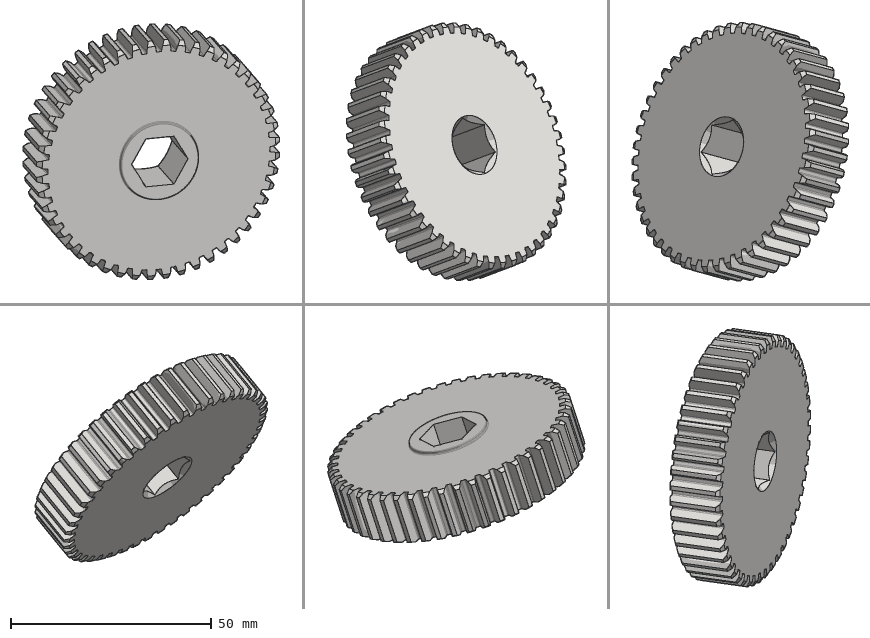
import cadquery as cq
import math

INCH = 25.4
DIAMETRAL_PITCH = 20
MODULE = INCH / DIAMETRAL_PITCH
TEETH = 48
PRESSURE_ANGLE = math.radians(17)
PITCH_RADIUS = MODULE * TEETH / 2
TIP_RADIUS = PITCH_RADIUS + MODULE
DEDENDUM = 1.25 * MODULE
ROOT_RADIUS = PITCH_RADIUS - DEDENDUM
BASE_RADIUS = PITCH_RADIUS * math.cos(PRESSURE_ANGLE)
TOOTH_PITCH_ANGLE = 2 * math.pi / TEETH
FLANK_POINTS = 5

ROOT_FILLET = 0.2 * MODULE

TOTAL_LENGTH = 14.3
FACE_WIDTH = 13.5
BACK_X = -FACE_WIDTH / 2
FRONT_X = FACE_WIDTH / 2
BOSS_END_X = BACK_X + TOTAL_LENGTH

CHAMFER_RADIAL = MODULE
CHAMFER_ANGLE = math.radians(30)
CHAMFER_AXIAL = CHAMFER_RADIAL * math.tan(CHAMFER_ANGLE)

BOSS_RADIUS = 10.15
BOSS_ROUND = 0.2
HEX_ACROSS_FLATS = INCH / 2
HEX_ACROSS_CORNERS = HEX_ACROSS_FLATS / math.cos(math.pi / 6)
COUNTERSINK_RADIUS = 7.62
COUNTERSINK_ANGLE = math.radians(45)


def involute(angle):
    """Involute function of a pressure angle."""
    return math.tan(angle) - angle


def polar(radius, angle):
    """Point in the YZ plane at an angle from +Y."""
    return (radius * math.cos(angle), radius * math.sin(angle))


def half_tooth_angle(radius):
    """Angle from the tooth centreline to its flank at a radius on the involute."""
    local_pressure_angle = math.acos(BASE_RADIUS / radius)
    return TOOTH_PITCH_ANGLE / 4 + involute(PRESSURE_ANGLE) - involute(local_pressure_angle)


def flank(centre, side):
    """Points of one involute flank, from the base circle to the tip."""
    step = (TIP_RADIUS - BASE_RADIUS) / (FLANK_POINTS - 1)
    radii = [BASE_RADIUS + step * i for i in range(FLANK_POINTS)]
    return [polar(r, centre + side * half_tooth_angle(r)) for r in radii]


def is_root_edge(edge):
    """True for an axial edge where a flank meets the root land."""
    middle = edge.Center()
    return math.hypot(middle.y, middle.z) < ROOT_RADIUS + ROOT_FILLET / 2


def toothed_blank():
    """Extruded gear outline: involute flanks on radial feet, arc tips and root lands, with filleted roots."""
    foot_half_angle = half_tooth_angle(BASE_RADIUS)
    first_centre = TOOTH_PITCH_ANGLE / 2
    outline = cq.Workplane("YZ", origin=(BACK_X, 0, 0))
    outline = outline.moveTo(*polar(ROOT_RADIUS, first_centre - foot_half_angle))
    for tooth in range(TEETH):
        centre = first_centre + tooth * TOOTH_PITCH_ANGLE
        rising = flank(centre, -1)
        falling = flank(centre, 1)[::-1]
        outline = outline.lineTo(*rising[0])
        outline = outline.spline(rising[1:], includeCurrent=True)
        outline = outline.threePointArc(polar(TIP_RADIUS, centre), falling[0])
        outline = outline.spline(falling[1:], includeCurrent=True)
        outline = outline.lineTo(*polar(ROOT_RADIUS, centre + foot_half_angle))
        outline = outline.threePointArc(
            polar(ROOT_RADIUS, centre + TOOTH_PITCH_ANGLE / 2),
            polar(ROOT_RADIUS, centre + TOOTH_PITCH_ANGLE - foot_half_angle),
        )
    blank = outline.close().extrude(FACE_WIDTH)
    root_edges = [edge for edge in blank.edges("|X").vals() if is_root_edge(edge)]
    return blank.newObject(root_edges).fillet(ROOT_FILLET)


def tooth_envelope():
    """Disc with both rims chamfered, used to bevel the tooth ends."""
    rim_radius = TIP_RADIUS - CHAMFER_RADIAL
    profile = cq.Workplane("XY").polyline([
        (BACK_X, 0),
        (BACK_X, rim_radius),
        (BACK_X + CHAMFER_AXIAL, TIP_RADIUS),
        (FRONT_X - CHAMFER_AXIAL, TIP_RADIUS),
        (FRONT_X, rim_radius),
        (FRONT_X, 0),
    ]).close()
    return profile.revolve(360, (0, 0, 0), (1, 0, 0))


def boss():
    """Thin round boss on the +X face, with its outer rim rounded and its foot filleted into the face."""
    rim_start_x = BOSS_END_X - BOSS_ROUND
    foot_end_x = FRONT_X + BOSS_ROUND
    rim_offset = BOSS_ROUND * math.sin(math.pi / 4)
    profile = (
        cq.Workplane("XY")
        .moveTo(FRONT_X, 0)
        .lineTo(BOSS_END_X, 0)
        .lineTo(BOSS_END_X, BOSS_RADIUS - BOSS_ROUND)
        .threePointArc(
            (rim_start_x + rim_offset, BOSS_RADIUS - BOSS_ROUND + rim_offset),
            (rim_start_x, BOSS_RADIUS),
        )
        .lineTo(foot_end_x, BOSS_RADIUS)
        .threePointArc(
            (foot_end_x - rim_offset, BOSS_RADIUS + BOSS_ROUND - rim_offset),
            (FRONT_X, BOSS_RADIUS + BOSS_ROUND),
        )
        .close()
    )
    return profile.revolve(360, (0, 0, 0), (1, 0, 0))


def hex_bore():
    """Through hexagon with two corners on the Y axis."""
    return cq.Workplane("YZ", origin=(BACK_X, 0, 0)).polygon(6, HEX_ACROSS_CORNERS).extrude(TOTAL_LENGTH)


def countersink():
    """Cone that opens the bore at the -X face."""
    apex_x = BACK_X + COUNTERSINK_RADIUS / math.tan(COUNTERSINK_ANGLE)
    profile = cq.Workplane("XY").polyline([(BACK_X, 0), (BACK_X, COUNTERSINK_RADIUS), (apex_x, 0)]).close()
    return profile.revolve(360, (0, 0, 0), (1, 0, 0))


bore = hex_bore().union(countersink())
result = toothed_blank().intersect(tooth_envelope(), clean=False)
result = result.union(boss(), clean=False)
result = result.cut(bore, clean=False)